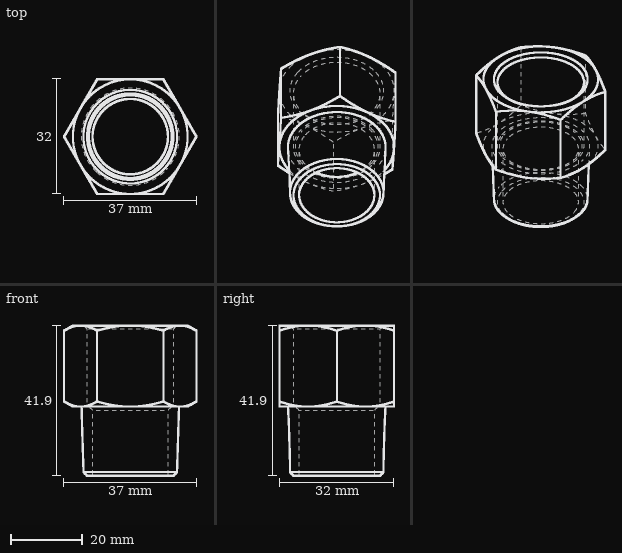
import cadquery as cq
import math

total_height = 41.9
spigot_length = 19.27
across_flats = 32.0
across_corners = across_flats / math.cos(math.radians(30))
hex_height = total_height - spigot_length

hex_chamfer_angle = 30.0

spigot_root_diameter = 27.28
spigot_end_diameter = 26.15
spigot_chamfer = 1.0

socket_diameter = 24.15
socket_mouth_diameter = 26.15
socket_depth = hex_height
bore_diameter = 21.0
bore_mouth_diameter = 23.05
mouth_chamfer_angle = 45.0


def revolve_profile(points):
    """Revolve (radius, height) points around the Z axis."""
    return cq.Workplane("XZ").polyline(points).close().revolve(360, (0, 0), (0, 1))


def make_hexagon():
    """Hexagonal body with both ends turned to a cone at the corners."""
    prism = (
        cq.Workplane("XY")
        .workplane(offset=spigot_length)
        .polygon(6, across_corners)
        .extrude(hex_height)
    )
    face_radius = across_flats / 2
    corner_radius = across_corners / 2
    chamfer_drop = (corner_radius - face_radius) * math.tan(math.radians(hex_chamfer_angle))
    turned_envelope = revolve_profile([
        (0, spigot_length),
        (face_radius, spigot_length),
        (corner_radius, spigot_length + chamfer_drop),
        (corner_radius, total_height - chamfer_drop),
        (face_radius, total_height),
        (0, total_height),
    ])
    return prism.intersect(turned_envelope)


def make_spigot():
    """Tapered spigot with a chamfered free end."""
    end_radius = spigot_end_diameter / 2
    return revolve_profile([
        (0, 0),
        (end_radius - spigot_chamfer, 0),
        (end_radius, spigot_chamfer),
        (spigot_root_diameter / 2, spigot_length),
        (0, spigot_length),
    ])


def make_bore():
    """Socket and through bore, each with a conical mouth."""
    socket_radius = socket_diameter / 2
    socket_mouth_radius = socket_mouth_diameter / 2
    bore_radius = bore_diameter / 2
    bore_mouth_radius = bore_mouth_diameter / 2
    mouth_slope = math.tan(math.radians(mouth_chamfer_angle))
    socket_floor = total_height - socket_depth
    socket_mouth_depth = (socket_mouth_radius - socket_radius) * mouth_slope
    bore_mouth_depth = (bore_mouth_radius - bore_radius) * mouth_slope
    return revolve_profile([
        (0, 0),
        (bore_radius, 0),
        (bore_radius, socket_floor - bore_mouth_depth),
        (bore_mouth_radius, socket_floor),
        (socket_radius, socket_floor),
        (socket_radius, total_height - socket_mouth_depth),
        (socket_mouth_radius, total_height),
        (0, total_height),
    ])


result = make_hexagon().union(make_spigot()).cut(make_bore())